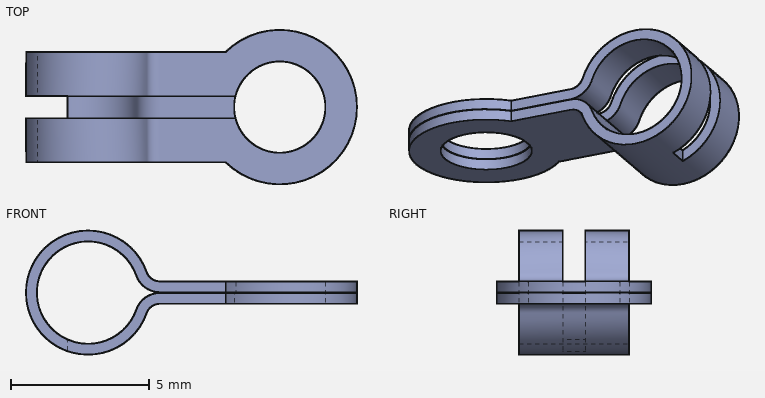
import cadquery as cq
import math


thickness = 0.4
loop_outer_radius = 2.25
tab_gap = 0.02
bend_radius = 0.5
strip_width = 4.0
eyelet_x = 6.94
eyelet_outer_radius = 2.8
eyelet_hole_radius = 1.65
slot_width = 0.8
slot_lower_end_x = -0.75

loop_inner_radius = loop_outer_radius - thickness
tab_inner_z = tab_gap / 2
tab_outer_z = tab_inner_z + thickness
wide_bend_radius = bend_radius + thickness
eyelet_end_x = eyelet_x + eyelet_outer_radius

bend_center_z = tab_outer_z + bend_radius
bend_center_distance = loop_outer_radius + bend_radius
bend_center_x = math.sqrt(bend_center_distance**2 - bend_center_z**2)
bend_angle = math.atan2(bend_center_z, bend_center_x)


def on_loop(radius, angle):
    """Point of the XZ section at a polar angle around the loop axis."""
    return (radius * math.cos(angle), radius * math.sin(angle))


def on_bend(radius, angle):
    """Point of the XZ section at a polar angle around the upper bend centre."""
    return (bend_center_x + radius * math.cos(angle), bend_center_z + radius * math.sin(angle))


def mirrored(point):
    """Same point on the lower half of the section."""
    return (point[0], -point[1])


def loop_and_tabs():
    """Strip section extruded to the full eyelet width, centred on Y."""
    bend_tab_angle = -math.pi / 2
    bend_mid_angle = (bend_angle - math.pi + bend_tab_angle) / 2

    outer_tangent = on_loop(loop_outer_radius, bend_angle)
    inner_tangent = on_loop(loop_inner_radius, bend_angle)
    outer_bend_mid = on_bend(bend_radius, bend_mid_angle)
    inner_bend_mid = on_bend(wide_bend_radius, bend_mid_angle)
    outer_tab_start = (bend_center_x, tab_outer_z)
    inner_tab_start = (bend_center_x, tab_inner_z)
    outer_tab_end = (eyelet_end_x, tab_outer_z)
    inner_tab_end = (eyelet_end_x, tab_inner_z)

    section = (
        cq.Workplane("XZ")
        .moveTo(*outer_tab_end)
        .lineTo(*outer_tab_start)
        .threePointArc(outer_bend_mid, outer_tangent)
        .threePointArc((-loop_outer_radius, 0), mirrored(outer_tangent))
        .threePointArc(mirrored(outer_bend_mid), mirrored(outer_tab_start))
        .lineTo(*mirrored(outer_tab_end))
        .lineTo(*mirrored(inner_tab_end))
        .lineTo(*mirrored(inner_tab_start))
        .threePointArc(mirrored(inner_bend_mid), mirrored(inner_tangent))
        .threePointArc((-loop_inner_radius, 0), inner_tangent)
        .threePointArc(inner_bend_mid, inner_tab_start)
        .lineTo(*inner_tab_end)
        .close()
    )
    return section.extrude(eyelet_outer_radius, both=True)


def plan_outline():
    """Outline seen along Z: a straight strip running into the round eyelet."""
    height = 2 * loop_outer_radius
    strip_length = loop_outer_radius + eyelet_x
    strip = (
        cq.Workplane("XY")
        .box(strip_length, strip_width, height, centered=(False, True, True))
        .translate((-loop_outer_radius, 0, 0))
    )
    eyelet = (
        cq.Workplane("XY")
        .center(eyelet_x, 0)
        .circle(eyelet_outer_radius)
        .extrude(loop_outer_radius, both=True)
    )
    return strip.union(eyelet)


def eyelet_hole():
    """Round hole through both tabs."""
    return (
        cq.Workplane("XY")
        .center(eyelet_x, 0)
        .circle(eyelet_hole_radius)
        .extrude(loop_outer_radius, both=True)
    )


def slot():
    """Central slot: upper half of the strip up to the hole, lower loop up to its end."""
    upper_length = loop_outer_radius + eyelet_x
    lower_length = loop_outer_radius + slot_lower_end_x
    upper = cq.Workplane("XY").box(
        upper_length, slot_width, loop_outer_radius, centered=(False, True, False)
    )
    lower = (
        cq.Workplane("XY")
        .box(lower_length, slot_width, loop_outer_radius, centered=(False, True, False))
        .translate((0, 0, -loop_outer_radius))
    )
    return upper.union(lower).translate((-loop_outer_radius, 0, 0))


result = loop_and_tabs().intersect(plan_outline()).cut(eyelet_hole()).cut(slot())